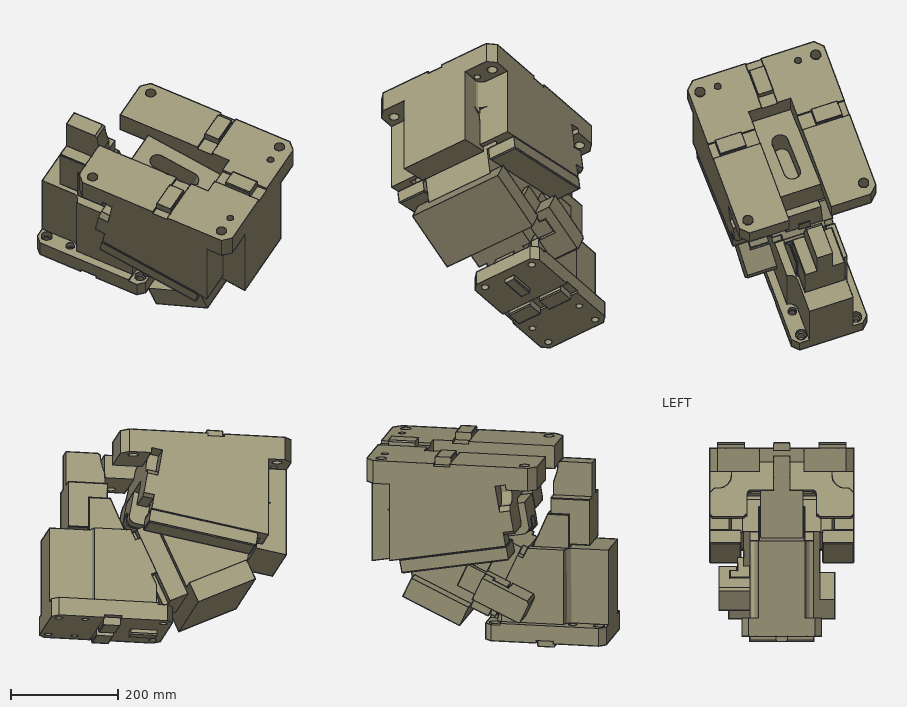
import cadquery as cq
import math

SIDES = (1, -1)

SLIDE_ANGLE = 10
DRIVE_ANGLE = 25


def tilted_frame(x, z, angle):
    """XZ plane seen from -Y, at (x, z), with its local axes turned by the angle."""
    turn = math.radians(angle)
    return cq.Plane(origin=(x, 0, z), xDir=(math.cos(turn), 0, math.sin(turn)), normal=(0, -1, 0))


UPRIGHT = tilted_frame(0, 0, 0)
SLIDE = tilted_frame(179.2, 326, -SLIDE_ANGLE)
DRIVE = tilted_frame(151.4, 178.2, DRIVE_ANGLE)


def bar(frame, x_range, y_range, half_width):
    """Box drawn in a frame and centred across the symmetry plane."""
    points = [(x, y) for x in x_range for y in y_range]
    return profile(frame, [points[0], points[2], points[3], points[1]], half_width)


def profile(frame, points, half_width):
    """Polygon drawn in a frame and extruded equally to both sides."""
    return cq.Workplane(frame).polyline(points).close().extrude(half_width, both=True)


def side_profile(frame, points, inner, outer, side):
    """Polygon drawn in a frame that spans inner to outer on one side of the symmetry plane."""
    near, far = sorted((side * inner, side * outer))
    return cq.Workplane(frame).workplane(offset=-far).polyline(points).close().extrude(far - near)


def side_bar(frame, x_range, y_range, inner, outer, side):
    """Box drawn in a frame that spans inner to outer on one side of the symmetry plane."""
    (x0, x1), (y0, y1) = x_range, y_range
    return side_profile(frame, [(x0, y0), (x1, y0), (x1, y1), (x0, y1)], inner, outer, side)


def flat_box(x_range, half_width, z_range):
    return bar(UPRIGHT, x_range, z_range, half_width)


def hole(x, y, diameter, z_range):
    z0, z1 = z_range
    return cq.Workplane(origin=(x, y, z0)).circle(diameter / 2).extrude(z1 - z0)


KEY_DEPTH = 5
KEY_RISE = 10
KEY_BEVEL_WIDTH = 1.2
KEY_BEVEL_HEIGHT = 3
FACE_GAP = 10.6
PAD_TOP = -21
PAD_BOTTOM = -93
FAR = 400


def key(length, width, x, y, z, turn, upward):
    """Locating key with bevelled long edges, centred at (x, y) on a mounting face at z."""
    half, shoulder = width / 2, KEY_RISE - KEY_BEVEL_HEIGHT
    section = cq.Workplane("YZ").polyline([
        (-half, -KEY_DEPTH),
        (half, -KEY_DEPTH),
        (half, shoulder),
        (half - KEY_BEVEL_WIDTH, KEY_RISE),
        (KEY_BEVEL_WIDTH - half, KEY_RISE),
        (-half, shoulder),
    ]).close()
    body = section.extrude(length / 2, both=True)
    if not upward:
        body = body.mirror("XY")
    return body.rotate((0, 0, 0), (0, 0, 1), turn).translate((x, y, z))


BASE_LENGTH = 230
BASE_HALF_WIDTH = 74.7
BASE_THICKNESS = 34.4
BASE_CHAMFER = 12.2
COLUMN_TOP = 178.2
COLUMN_HALF_NARROW = 43.3
COLUMN_HALF_WIDE = 59.6
COLUMN_COVE = COLUMN_HALF_WIDE - COLUMN_HALF_NARROW
COVE_START = 65.5
SHOULDER_END = 200.5
HOOK_INNER, HOOK_NECK, HOOK_OUTER = 60.5, 82.5, 96
HOOK_DEEP, HOOK_FOOT_DEEP = 86, 28
HOOK_ENDS = (-120, -74)
RAIL_LIP = 47
RAIL_FACE = -52.7
RAIL_OUTER = 117.3
RAIL_BEVEL = 5
BOLT_INSET = 15.7
BOLT_Y = 54.4


def base_plate():
    plate = cq.Workplane().rect(BASE_LENGTH, 2 * BASE_HALF_WIDTH).extrude(BASE_THICKNESS)
    plate = plate.edges("|Z").chamfer(BASE_CHAMFER).translate((BASE_LENGTH / 2, 0, 0))
    end_step = 3.3
    lowered = (BASE_THICKNESS - end_step, BASE_THICKNESS)
    return plate.cut(flat_box((SHOULDER_END, BASE_LENGTH), BASE_HALF_WIDTH, lowered))


def column():
    """Column with coved shoulders, cut back along the drive face."""
    plan = cq.Workplane().rect(FAR, 2 * COLUMN_HALF_NARROW).extrude(COLUMN_TOP)
    body = plan.translate((FAR / 2, 0, 0))
    for side in SIDES:
        narrow, wide = side * COLUMN_HALF_NARROW, side * COLUMN_HALF_WIDE
        middle = COLUMN_COVE * math.sqrt(0.5)
        shoulder = (
            cq.Workplane()
            .moveTo(COVE_START, 0)
            .lineTo(COVE_START, narrow)
            .threePointArc(
                (COVE_START + middle, wide - side * middle),
                (COVE_START + COLUMN_COVE, wide),
            )
            .lineTo(SHOULDER_END, wide)
            .lineTo(SHOULDER_END, 0)
            .close()
            .extrude(COLUMN_TOP)
        )
        body = body.union(shoulder)
    front_cut = bar(DRIVE, (0, FAR), (-FAR, FAR), BASE_HALF_WIDTH)
    toe_top, toe_x = 70, 211
    toe = [(SHOULDER_END, toe_top), (FAR, toe_top), (FAR, 0), (toe_x, 0), (toe_x, BASE_THICKNESS)]
    groove_floor, groove_half = -6.9, 42
    groove = bar(DRIVE, (groove_floor, FACE_GAP), (PAD_TOP, FAR), groove_half)
    body = body.cut(front_cut).cut(groove).cut(profile(UPRIGHT, toe, BASE_HALF_WIDTH))
    pad = bar(DRIVE, (-1, FACE_GAP), (PAD_BOTTOM, PAD_TOP), COLUMN_HALF_WIDE)
    return body.union(pad)


def nose_and_post():
    """Nose on the column, and the stepped post that it carries clear of the column top."""
    nose_back, nose_top, nose_bevel = 74.4, 243, 1.6
    nose = profile(
        UPRIGHT,
        [(nose_back, COLUMN_TOP), (nose_back, nose_top), (115.3, nose_top), (143.8, COLUMN_TOP)],
        COLUMN_HALF_NARROW,
    )
    nose = nose.faces("<Y or >Y").edges("|Z or |X").edges("<X or >Z").chamfer(nose_bevel)
    back, front = 36.4, 110.4
    foot, shoulder, top = 184.1, 272.6, 337.5
    post_half, stem_half, post_bevel = 39.8, 15.4, 1.5
    post = flat_box((back, front), post_half, (foot, shoulder)).edges("|X").chamfer(post_bevel)
    stem = profile(
        UPRIGHT,
        [
            (back, shoulder),
            (back, top),
            (97, top),
            (101.3, 334.5),
            (103.5, 318),
            (front, 297),
            (front, shoulder),
        ],
        stem_half,
    )
    return nose.union(post).union(stem)


def return_rail():
    """Rail on the +Y side of the column with a groove that the slider's hook runs in."""
    rail = side_bar(DRIVE, (RAIL_FACE, RAIL_LIP), HOOK_ENDS, COLUMN_HALF_WIDE, RAIL_OUTER, 1)
    outer_face = cq.selectors.DirectionMinMaxSelector(DRIVE.xDir, False)
    rail_top = cq.selectors.DirectionMinMaxSelector(DRIVE.yDir, True)
    rail_bottom = cq.selectors.DirectionMinMaxSelector(DRIVE.yDir, False)
    rail = rail.faces(outer_face).edges(rail_top).chamfer(RAIL_BEVEL)
    rail = rail.faces(outer_face).edges(rail_bottom).chamfer(RAIL_BEVEL / 2)
    floor, side_gap = -4, 1.2
    neck = side_bar(DRIVE, (floor, RAIL_LIP), HOOK_ENDS, COLUMN_HALF_WIDE, HOOK_NECK + side_gap, 1)
    foot_room = (floor, HOOK_FOOT_DEEP + side_gap)
    foot = side_bar(DRIVE, foot_room, HOOK_ENDS, COLUMN_HALF_WIDE, HOOK_OUTER + side_gap, 1)
    return rail.cut(neck).cut(foot)


def stepped_hole(x, y, diameter, wide_diameter):
    wide_depth = 12
    wide_z = (BASE_THICKNESS - wide_depth, BASE_THICKNESS)
    return hole(x, y, diameter, (0, BASE_THICKNESS)).union(hole(x, y, wide_diameter, wide_z))


def base_body():
    lip_back = 215.3
    lip_floor = BASE_THICKNESS - 4
    lip = [(lip_back, lip_floor), (lip_back, 37.5), (225.6, 42.5), (BASE_LENGTH, lip_floor)]
    body = base_plate().union(column()).union(nose_and_post()).union(return_rail())
    body = body.union(profile(UPRIGHT, lip, COLUMN_HALF_NARROW / 2))
    cross_x, cross_width, cross_length, cross_y = 115.3, 32.7, 49.5, 35.25
    long_x, long_width, long_length = 185.5, 21, 49.8
    bolt_hole, bolt_seat = 14, 20.4
    dowel_hole, dowel_seat = 12.5, 15.5
    groove = (cross_x - cross_width / 2, cross_x + cross_width / 2)
    body = body.cut(flat_box(groove, BASE_HALF_WIDTH, (0, KEY_DEPTH)))
    for side in SIDES:
        body = body.union(key(cross_length, cross_width, cross_x, side * cross_y, 0, 90, False))
        for x in (BOLT_INSET, BASE_LENGTH - BOLT_INSET):
            body = body.cut(stepped_hole(x, side * BOLT_Y, bolt_hole, bolt_seat))
        body = body.cut(stepped_hole(COVE_START, side * BOLT_Y, dowel_hole, dowel_seat))
    return body.union(key(long_length, long_width, long_x, 0, 0, 0, False))


SLIDER_FRONT = 45
SLIDER_END = 223
SLIDER_TOP = -55
SLIDER_HALF = 64.5
SLIDER_LOWER_HALF = 73
WEB_HALF = 71.4
FLANGE_HALF = 94
FLANGE_TOP = -95
FRONT_BOTTOM = -104
FLANGE_CLEARANCE = 5
BLOCK_BOTTOM = -125
STRIP_BOTTOM = -152
FRONT_DEPTH = 20
SLAB_TOP = -3.6
SLAB_BOTTOM = -153.5
SLAB_DEEP = 48
KEEPER_TOP = -143
KEEPER_BOTTOM = -183
KEEPER_DEEP = 168
KEEPER_HALF = 99.3


def slider_carriage():
    core = bar(SLIDE, (SLIDER_FRONT, SLIDER_END), (BLOCK_BOTTOM, SLIDER_TOP), SLIDER_HALF)
    rebate = 8
    core = core.cut(
        bar(SLIDE, (SLIDER_FRONT, SLIDER_FRONT + rebate), (SLIDER_TOP - rebate, SLIDER_TOP), SLIDER_HALF)
    )
    lower = bar(SLIDE, (SLIDER_FRONT, SLIDER_END), (BLOCK_BOTTOM, FLANGE_TOP), SLIDER_LOWER_HALF)
    flange_setback = 5
    flange_start = SLIDER_FRONT + flange_setback
    flange = bar(SLIDE, (flange_start, SLIDER_END), (BLOCK_BOTTOM, FLANGE_TOP), FLANGE_HALF)
    return core.union(lower).union(flange)


def tool_pad():
    """Block on the slider front with a rounded lower edge and a narrow rib."""
    pad_front, pad_bottom, pad_top, round_radius, rib_height = -6, -128, -68, 13, 2
    pad_half, rib_half = 35.4, 11
    pad = bar(SLIDE, (pad_front, SLIDER_FRONT), (pad_bottom, pad_top), pad_half)
    rib_rise = (pad_bottom - rib_height, FRONT_BOTTOM)
    rib = bar(SLIDE, (pad_front - rib_height, SLIDER_FRONT), rib_rise, rib_half)

    def rounded(block):
        front = block.faces(cq.selectors.DirectionMinMaxSelector(SLIDE.xDir, False))
        return front.edges(cq.selectors.DirectionMinMaxSelector(SLIDE.yDir, False)).fillet(round_radius)

    return rounded(pad).union(rounded(rib))


def slider_wedge():
    """Slab on the drive face, the web behind it and the keeper bar along the lower edge."""
    slab = bar(DRIVE, (FACE_GAP, SLAB_DEEP), (SLAB_BOTTOM, SLAB_TOP), COLUMN_HALF_WIDE)
    tab_half, web_bottom = 42, KEEPER_TOP - 10
    for ends in ((PAD_TOP, SLAB_TOP), (SLAB_BOTTOM, PAD_BOTTOM)):
        slab = slab.union(bar(DRIVE, (0, FACE_GAP), ends, tab_half))
    web = bar(DRIVE, (SLAB_DEEP, FAR), (web_bottom, FAR), WEB_HALF)
    web = web.intersect(bar(SLIDE, (FRONT_DEPTH, SLIDER_END), (-FAR, BLOCK_BOTTOM), WEB_HALF))
    keeper = bar(DRIVE, (SLAB_DEEP, KEEPER_DEEP), (KEEPER_BOTTOM, KEEPER_TOP), KEEPER_HALF)
    return slab.union(web).union(keeper)


def return_hook():
    """L-shaped hook on the +Y side that pulls the slider back along the rail."""
    neck = side_bar(DRIVE, (0, HOOK_DEEP), HOOK_ENDS, HOOK_INNER, HOOK_NECK, 1)
    foot = side_bar(DRIVE, (0, HOOK_FOOT_DEEP), HOOK_ENDS, HOOK_INNER, HOOK_OUTER, 1)
    return neck.union(foot)


def slider_body():
    return slider_carriage().union(tool_pad()).union(slider_wedge()).union(return_hook())


HOLDER_X = (120, 445)
HOLDER_HALF = 135
PLATE_Z = (308, 352)
PLATE_CHAMFER = 15
BLOCK_BACK = 399
POCKET_END = 351.3
POCKET_HALF = 41.6
CAVITY_END = 235
HEEL_HALF = 71
HEEL_BOTTOM = -135
HEEL_COVE = 16
COVE_BOTTOM = 246


def holder_plate():
    length = HOLDER_X[1] - HOLDER_X[0]
    plate = cq.Workplane().rect(length, 2 * HOLDER_HALF).extrude(PLATE_Z[1] - PLATE_Z[0])
    return plate.edges("|Z").chamfer(PLATE_CHAMFER).translate((sum(HOLDER_X) / 2, 0, PLATE_Z[0]))


def holder_block():
    """Block under the plate, square to the travel in front, and upright at the back."""
    envelope = flat_box((0, BLOCK_BACK), HOLDER_HALF, (0, PLATE_Z[0] + 1))
    block = bar(SLIDE, (0, FAR), (BLOCK_BOTTOM, FAR), HOLDER_HALF).intersect(envelope)
    return block.cut(bar(SLIDE, (0, FRONT_DEPTH), (BLOCK_BOTTOM, FRONT_BOTTOM), HOLDER_HALF))


def holder_heel():
    """Wall behind the slider, with upright coves where it meets the block."""
    envelope = flat_box((0, HOLDER_X[1]), HEEL_HALF, (0, PLATE_Z[0]))
    heel = bar(SLIDE, (CAVITY_END, FAR), (HEEL_BOTTOM, FAR), HEEL_HALF).intersect(envelope)
    cove_end = BLOCK_BACK + HEEL_COVE
    heel = heel.union(flat_box((BLOCK_BACK, cove_end), HEEL_HALF, (COVE_BOTTOM, PLATE_Z[0])))
    cove_side = [
        (BLOCK_BACK, PLATE_Z[0]),
        (cove_end, PLATE_Z[0]),
        (cove_end, 243),
        (404.5, 232.5),
        (404.5, COVE_BOTTOM),
        (BLOCK_BACK, COVE_BOTTOM),
    ]
    for side in SIDES:
        centre = side * (HEEL_HALF + HEEL_COVE)
        corner = side_profile(UPRIGHT, cove_side, HEEL_HALF, HEEL_HALF + HEEL_COVE, side)
        heel = heel.union(corner.cut(hole(cove_end, centre, 2 * HEEL_COVE, (0, FAR))))
    return heel


def slider_cavity():
    """T-shaped room for the slider, with rounded roof corners and a flared mouth."""
    roof_round, front_rise, mouth_half, mouth_flare = 8, 2, 72, 7
    channel = bar(SLIDE, (FRONT_DEPTH, CAVITY_END), (-FAR, SLIDER_TOP), SLIDER_HALF)
    relief = bar(SLIDE, (-1, FRONT_DEPTH), (-FAR, SLIDER_TOP + front_rise), SLIDER_HALF)
    relief = relief.faces(cq.selectors.DirectionMinMaxSelector(SLIDE.yDir, True))
    relief = relief.edges(cq.selectors.ParallelDirSelector(SLIDE.xDir)).fillet(roof_round)
    room_half = FLANGE_HALF + FLANGE_CLEARANCE
    flange_room = bar(SLIDE, (FRONT_DEPTH, CAVITY_END), (BLOCK_BOTTOM, FLANGE_TOP), room_half)
    mouth = cq.Workplane(tilted_mouth()).polyline([
        (-SLIDER_HALF, FRONT_BOTTOM + mouth_flare),
        (SLIDER_HALF, FRONT_BOTTOM + mouth_flare),
        (mouth_half, FRONT_BOTTOM),
        (-mouth_half, FRONT_BOTTOM),
    ]).close().extrude(FRONT_DEPTH)
    return channel.union(relief).union(flange_room).union(mouth)


def tilted_mouth():
    """Plane of the block's front face, with local x along Y and its normal along the travel."""
    return cq.Plane(origin=SLIDE.origin, xDir=(0, 1, 0), normal=SLIDE.xDir)


def corner_relief(side):
    """Bolt clearance in an upper front corner of the block, and the bevel on its lower corner."""
    wall, top, arc_top, flat, bevel = 94.3, -8.5, -25, -49.7, 9
    radius = arc_top - flat
    middle = radius * math.sqrt(0.5)
    face = cq.Workplane(tilted_mouth())
    clearance = (
        face.moveTo(side * wall, top)
        .lineTo(side * wall, arc_top)
        .threePointArc(
            (side * (wall + radius - middle), arc_top - middle),
            (side * (wall + radius), flat),
        )
        .lineTo(side * (HOLDER_HALF - bevel), flat)
        .lineTo(side * HOLDER_HALF, flat - bevel)
        .lineTo(side * HOLDER_HALF, top)
        .close()
        .extrude(FRONT_DEPTH)
    )
    lower = 6
    bottom_bevel = face.polyline([
        (side * HOLDER_HALF, FRONT_BOTTOM),
        (side * HOLDER_HALF, FRONT_BOTTOM + lower),
        (side * (HOLDER_HALF - lower), FRONT_BOTTOM),
    ]).close().extrude(FRONT_DEPTH)
    return clearance.union(bottom_bevel)


def plate_pocket():
    """Open-ended pocket in the plate whose floor follows the travel, with a blind slot in it."""
    envelope = flat_box((HOLDER_X[0], POCKET_END), POCKET_HALF, (0, FAR))
    pocket = bar(SLIDE, (-FAR, FAR), (0, FAR), POCKET_HALF).intersect(envelope)
    front = bar(SLIDE, (-FAR, 0), (-FAR, FAR), POCKET_HALF)
    pocket = pocket.union(front.intersect(envelope))
    slot_start, slot_end, slot_width, slot_depth = 29, 129.8, 30.8, 50
    roof = cq.Plane(origin=SLIDE.origin, xDir=SLIDE.xDir, normal=SLIDE.yDir)
    slot = (
        cq.Workplane(roof)
        .center((slot_start + slot_end) / 2, 0)
        .slot2D(slot_end - slot_start, slot_width)
        .extrude(-slot_depth)
    )
    return pocket.union(slot)


def retainer_strip(side):
    """Strip under the block that the slider flange rides on."""
    start, end, inner, bevel = 19, 225.5, 76.5, 2
    strip = side_bar(SLIDE, (start, end), (STRIP_BOTTOM, BLOCK_BOTTOM), inner, HOLDER_HALF, side)
    return strip.faces(cq.selectors.ParallelDirSelector(SLIDE.yDir)).edges().chamfer(bevel)


def holder_body():
    body = holder_plate().union(holder_block()).union(holder_heel())
    body = body.cut(plate_pocket()).cut(slider_cavity())
    top = PLATE_Z[1]
    groove_z = (top - KEY_DEPTH, top)
    key_length, key_width = 51, 31
    cross_x, cross_y, long_x = 299.5, 95, 399.7
    cross_groove = (cross_x - key_width / 2, cross_x + key_width / 2)
    body = body.cut(flat_box(cross_groove, HOLDER_HALF, groove_z))
    body = body.cut(flat_box((POCKET_END, HOLDER_X[1]), key_width / 2, groove_z))
    body = body.union(key(key_length, key_width, long_x, 0, top, 0, True))
    bolt_front, bolt_back, bolt_y, bolt_hole = 145.5, 418.7, 114.5, 19
    dowel_y, dowel_hole = 79.5, 12.5
    for side in SIDES:
        body = body.cut(corner_relief(side)).union(retainer_strip(side))
        body = body.union(key(key_length, key_width, cross_x, side * cross_y, top, 90, True))
        for x in (bolt_front, bolt_back):
            body = body.cut(hole(x, side * bolt_y, bolt_hole, PLATE_Z))
        body = body.cut(hole(bolt_back, side * dowel_y, dowel_hole, PLATE_Z))
    return body


base = base_body()
slider = slider_body()
holder = holder_body()
result = cq.Compound.makeCompound([base.val(), slider.val(), holder.val()])